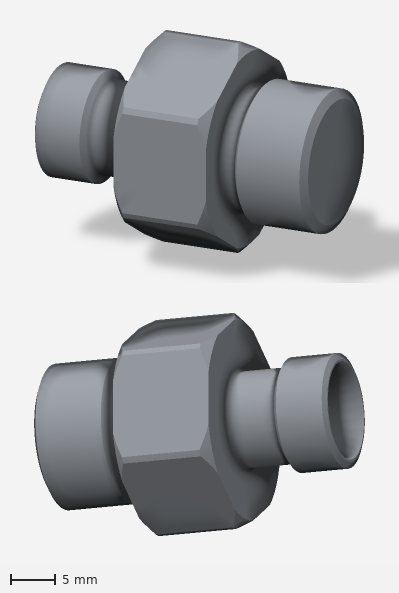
import cadquery as cq
import math

total_length = 35.0
hex_start = 12.4
hex_end = 23.98
left_thread_end = 5.95
right_thread_start = 26.5

left_thread_dia = 13.15
left_tip_dia = 11.7
left_neck_dia = 11.0
right_thread_dia = 16.65
right_tip_dia = 14.5
right_neck_dia = 14.5

left_chamfer_length = 0.4
right_chamfer_length = 0.6
relief_radius = 0.5
relief_angle = math.radians(55)

across_flats = 22.0
across_corners = 25.0
hex_chamfer = 1.1

seat_mouth_dia = 11.2
seat_floor_dia = 6.0
seat_half_angle = math.radians(30)
seat_depth = (seat_mouth_dia - seat_floor_dia) / 2 / math.tan(seat_half_angle)


def spigot(length, thread_length, thread_dia, neck_dia, tip_dia, chamfer_length):
    """Turned end with its tip at X = 0 and its neck running to X = length."""
    thread_r = thread_dia / 2
    neck_r = neck_dia / 2
    arc_top_r = neck_r + relief_radius * (1 - math.cos(relief_angle))
    arc_top_x = thread_length + (thread_r - arc_top_r) / math.tan(relief_angle)
    neck_start = arc_top_x + relief_radius * math.sin(relief_angle)
    arc_center_r = neck_r + relief_radius
    arc_mid = (
        neck_start - relief_radius * math.sin(relief_angle / 2),
        arc_center_r - relief_radius * math.cos(relief_angle / 2),
    )
    neck_end = length - relief_radius
    root_mid = (
        neck_end + relief_radius * math.sin(math.pi / 4),
        arc_center_r - relief_radius * math.cos(math.pi / 4),
    )
    return (
        cq.Workplane("XY")
        .lineTo(0, tip_dia / 2)
        .lineTo(chamfer_length, thread_r)
        .lineTo(thread_length, thread_r)
        .lineTo(arc_top_x, arc_top_r)
        .threePointArc(arc_mid, (neck_start, neck_r))
        .lineTo(neck_end, neck_r)
        .threePointArc(root_mid, (length, arc_center_r))
        .lineTo(length, 0)
        .close()
        .revolve(360, (0, 0), (1, 0))
    )


def hexagon():
    """Hexagon with flats facing +Y and -Y, trimmed by a chamfered cylinder."""
    width = hex_end - hex_start
    base = cq.Workplane("YZ", origin=(hex_start, 0, 0))
    sharp_corner_dia = across_flats / math.cos(math.pi / 6)
    prism = base.transformed(rotate=(0, 0, 30)).polygon(6, sharp_corner_dia).extrude(width)
    envelope = base.circle(across_corners / 2).extrude(width).edges().chamfer(hex_chamfer)
    return prism.intersect(envelope)


left_end = spigot(
    hex_start, left_thread_end, left_thread_dia, left_neck_dia, left_tip_dia, left_chamfer_length
)
right_end = spigot(
    total_length - hex_end,
    total_length - right_thread_start,
    right_thread_dia,
    right_neck_dia,
    right_tip_dia,
    right_chamfer_length,
).rotate((0, 0, 0), (0, 0, 1), 180).translate((total_length, 0, 0))

seat = (
    cq.Workplane("XY")
    .lineTo(0, seat_mouth_dia / 2)
    .lineTo(seat_depth, seat_floor_dia / 2)
    .lineTo(seat_depth, 0)
    .close()
    .revolve(360, (0, 0), (1, 0))
)

result = hexagon().union(left_end).union(right_end).cut(seat)